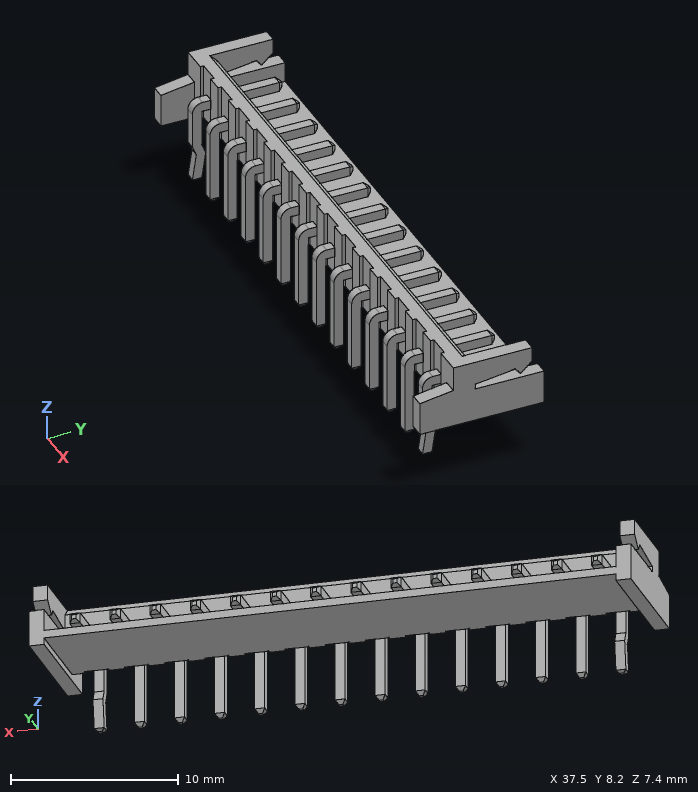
import cadquery as cq
import math


length = 37.5
depth = 8.2
end_plate_thickness = 0.95
end_plate_bottom = -4.15
body_bottom = -3.75
floor_top = -3.25
wall_front = -6.0
wall_back = -4.5
wall_chamfer = 0.5

ledge_top = -1.9
slot_end = -4.55
slot_end_top = -1.58
slot_mouth_top = -1.25
slot_mouth_y = -1.9
barb_y = -1.58
barb_tip = -1.65
arm_back = -0.8
arm_nose = -0.98
wing_root_top = -1.6
wing_nose_top = -1.95

pin_count = 14
pitch = length / (pin_count + 1)
pin_size = 0.65
pin_top = -1.85
pin_front = -7.0
pin_bottom = -7.4
pin_back = -1.0
tip_length = 0.25
kinked_tip_length = 0.15
tip_inset = 0.2
bend_radius = 0.68
inner_bend_radius = bend_radius - pin_size

kink_start = -4.88
kink_peak = -5.48
kink_offset = 0.25

groove_width = 1.45
groove_depth = 0.22


def extrude_along_x(profile, width, x_center):
    """Extrude a closed YZ sketch symmetrically about x_center."""
    return profile.extrude(width / 2, both=True).translate((x_center, 0, 0))


def make_body():
    """Floor and front wall, with a lead-in chamfer along the top of the wall."""
    profile = (
        cq.Workplane("YZ")
        .moveTo(0, body_bottom)
        .lineTo(0, floor_top)
        .lineTo(wall_back, floor_top)
        .lineTo(wall_back, -wall_chamfer)
        .lineTo(wall_back - wall_chamfer, 0)
        .lineTo(wall_front, 0)
        .lineTo(wall_front, body_bottom)
        .close()
    )
    return extrude_along_x(profile, length - 2 * end_plate_thickness, 0)


def make_end_plate(x_center):
    """End plate with a barbed arm above the slot and a sloping front wing."""
    outline = [
        (0, end_plate_bottom),
        (0, ledge_top),
        (slot_end, ledge_top),
        (slot_end, slot_end_top),
        (slot_mouth_y, slot_mouth_top),
        (barb_y, barb_tip),
        (arm_back, arm_nose),
        (arm_back, 0),
        (wall_front, 0),
        (wall_front, wing_root_top),
        (-depth, wing_nose_top),
        (-depth, end_plate_bottom),
    ]
    profile = cq.Workplane("YZ").polyline(outline).close()
    return extrude_along_x(profile, end_plate_thickness, x_center)


def make_groove(x_center):
    """Full-height cutter for the groove in front of one pin."""
    cutter = cq.Workplane("XY").box(groove_width, 2 * groove_depth, -2 * body_bottom)
    return cutter.translate((x_center, wall_front, 0))


def make_tip(plane, taper_length):
    """Tapered pin tip growing from a square base along the plane normal."""
    tip_size = pin_size - 2 * tip_inset
    return (
        cq.Workplane(plane)
        .rect(pin_size, pin_size)
        .workplane(offset=taper_length)
        .rect(tip_size, tip_size)
        .loft(ruled=True)
    )


def make_pin(x_center, kinked):
    """Bent square pin; kinked pins step backward below the housing."""
    contact_end = pin_back - tip_length
    tail_taper = kinked_tip_length if kinked else tip_length
    tail_end = pin_bottom + tail_taper
    pin_underside = pin_top - pin_size
    tail_back = pin_front + pin_size
    bend_y = pin_front + bend_radius
    bend_z = pin_top - bend_radius
    diagonal = math.sqrt(0.5)
    inner_reach = inner_bend_radius * diagonal
    outer_reach = bend_radius * diagonal

    profile = (
        cq.Workplane("YZ")
        .moveTo(contact_end, pin_underside)
        .lineTo(bend_y, pin_underside)
        .threePointArc((bend_y - inner_reach, bend_z + inner_reach), (tail_back, bend_z))
    )
    if kinked:
        profile = profile.lineTo(tail_back, kink_start).lineTo(tail_back + kink_offset, kink_peak)
    profile = profile.lineTo(tail_back, tail_end).lineTo(pin_front, tail_end)
    if kinked:
        profile = profile.lineTo(pin_front + kink_offset, kink_peak).lineTo(pin_front, kink_start)
    profile = (
        profile.lineTo(pin_front, bend_z)
        .threePointArc((bend_y - outer_reach, bend_z + outer_reach), (bend_y, pin_top))
        .lineTo(contact_end, pin_top)
        .close()
    )
    shank = extrude_along_x(profile, pin_size, x_center)

    contact_plane = cq.Plane((x_center, contact_end, pin_top - pin_size / 2), (1, 0, 0), (0, 1, 0))
    tail_plane = cq.Plane((x_center, pin_front + pin_size / 2, tail_end), (1, 0, 0), (0, 0, -1))
    return shank.union(make_tip(contact_plane, tip_length)).union(make_tip(tail_plane, tail_taper))


end_plate_x = (length - end_plate_thickness) / 2
first_pin_x = pitch - length / 2

result = make_body()
for x in (-end_plate_x, end_plate_x):
    result = result.union(make_end_plate(x))
for i in range(pin_count):
    x = first_pin_x + i * pitch
    is_outermost = i in (0, pin_count - 1)
    result = result.cut(make_groove(x)).union(make_pin(x, is_outermost))